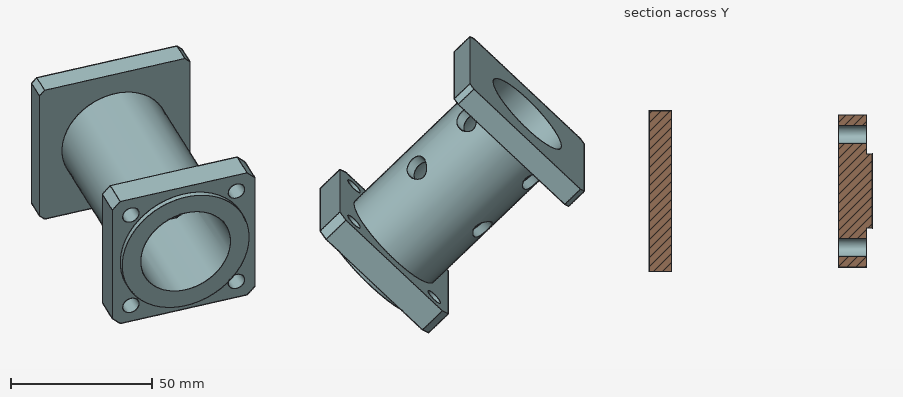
import cadquery as cq

total_length = 79.0
front_thickness = 8.0
rear_thickness = 10.0
spigot_length = 2.0
rear_start = total_length - spigot_length - rear_thickness

front_width = 57.0
front_chamfer = 2.0
rear_width = 54.0
rear_chamfer = 3.0

tube_diameter = 40.0
spigot_diameter = 48.0
bore_diameter = 34.0

mount_diameter = 6.2
mount_spacing = 40.0

cross_diameter = 8.0
cross_positions = (14.0, 39.0)
cross_height = -11.1


def plane_at(x):
    """Return a workplane facing +X at the given position."""
    return cq.Workplane("YZ", origin=(x, 0, 0))


def flange(start, thickness, width, chamfer):
    """Square plate with its four corners chamfered."""
    return plane_at(start).rect(width, width).extrude(thickness).edges("|X").chamfer(chamfer)


def cylinder(start, length, diameter):
    """Solid cylinder on the X axis."""
    return plane_at(start).circle(diameter / 2).extrude(length)


body = flange(0, front_thickness, front_width, front_chamfer)
body = body.union(cylinder(0, total_length, tube_diameter))
body = body.union(flange(rear_start, rear_thickness, rear_width, rear_chamfer))
body = body.union(cylinder(rear_start, total_length - rear_start, spigot_diameter))

body = body.cut(cylinder(0, total_length, bore_diameter))

mount_holes = (
    plane_at(rear_start)
    .rect(mount_spacing, mount_spacing, forConstruction=True)
    .vertices()
    .circle(mount_diameter / 2)
    .extrude(rear_thickness)
)
body = body.cut(mount_holes)

cross_holes = (
    cq.Workplane("XZ")
    .pushPoints([(x, cross_height) for x in cross_positions])
    .circle(cross_diameter / 2)
    .extrude(tube_diameter / 2, both=True)
)
result = body.cut(cross_holes)